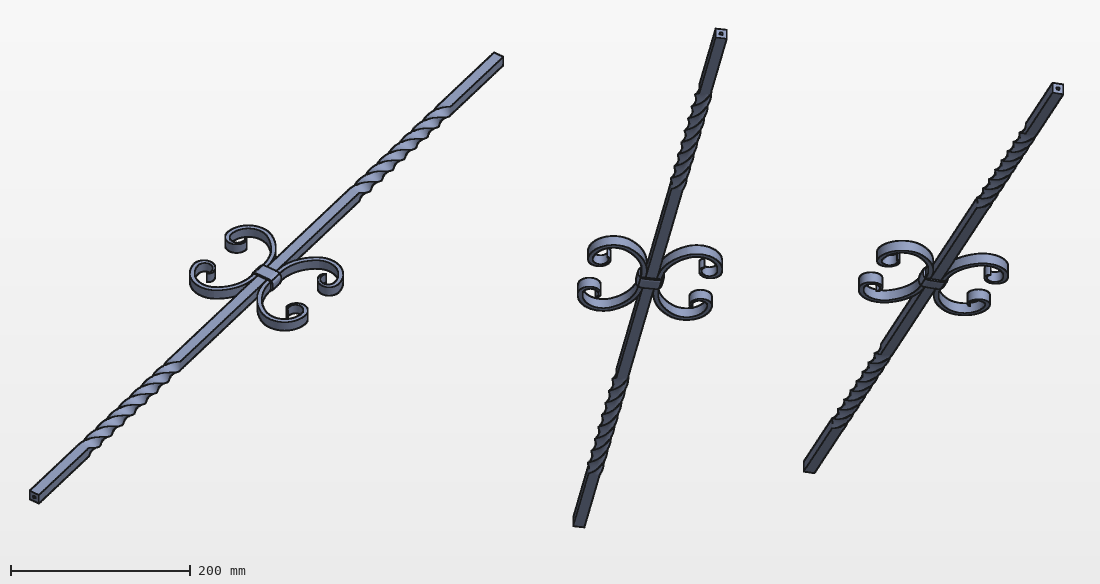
import cadquery as cq
import math

BAR_LENGTH = 900.0
TWIST_DIAMETER = 18.0
BAR_SIDE = TWIST_DIAMETER / math.sqrt(2)
END_HOLE_DIAMETER = 4.0
END_HOLE_DEPTH = 9.0
TWIST_LENGTH = 176.0
TWIST_STARTS = (-353.0, 171.0)
TWIST_TURN = 720.0

BAND_THICKNESS = 5.0
CURL_END_THICKNESS = 3.0
TIP_THICKNESS = 1.0
SCROLL_SPAN = 151.0
STRAIGHT_HALF = 11.0
SHOULDER_RADIUS = 50.0
SHOULDER_ANGLE = 59.0
CURL_RADIUS = 11.0
HOOK_RADIUS = 6.0
HOOK_ANGLE = 65.0

COLLAR_WIDTH = 30.0
COLLAR_LENGTH = 16.0
COLLAR_HEIGHT = 18.0
COLLAR_ROUNDING = 7.0
COLLAR_BEVEL_LENGTH = 3.0
COLLAR_BEVEL_DEPTH = 0.45

band_middle_x = (BAR_SIDE + BAND_THICKNESS) / 2
outside_middle_x = (SCROLL_SPAN - BAND_THICKNESS) / 2
shoulder_cos = math.cos(math.radians(SHOULDER_ANGLE))
shoulder_sin = math.sin(math.radians(SHOULDER_ANGLE))
shoulder_x = band_middle_x + SHOULDER_RADIUS * (1 - shoulder_cos)
bow_radius = (outside_middle_x - shoulder_x) / (1 + shoulder_cos)

shoulder_center = (band_middle_x + SHOULDER_RADIUS, STRAIGHT_HALF)
center_shift = SHOULDER_RADIUS - bow_radius
bow_center = (
    shoulder_center[0] - center_shift * shoulder_cos,
    shoulder_center[1] + center_shift * shoulder_sin,
)
curl_center = (outside_middle_x - CURL_RADIUS, bow_center[1])
hook_center = (curl_center[0] - CURL_RADIUS + HOOK_RADIUS, bow_center[1])


def bar_piece(y_start, y_end, turn=0.0):
    """Square bar from y_start to y_end, twisted about its axis by turn degrees."""
    section = cq.Workplane("XY").rect(BAR_SIDE, BAR_SIDE)
    length = y_end - y_start
    piece = section.twistExtrude(length, turn) if turn else section.extrude(length)
    return piece.rotate((0, 0, 0), (1, 0, 0), -90).translate((0, y_start, 0))


def make_bar():
    half = BAR_LENGTH / 2
    lower_start, upper_start = TWIST_STARTS
    lower_end = lower_start + TWIST_LENGTH
    upper_end = upper_start + TWIST_LENGTH
    bar = bar_piece(-half, lower_start)
    bar = bar.union(bar_piece(lower_start, lower_end, TWIST_TURN))
    bar = bar.union(bar_piece(lower_end, upper_start))
    bar = bar.union(bar_piece(upper_start, upper_end, TWIST_TURN))
    bar = bar.union(bar_piece(upper_end, half))
    for end in ("<Y", ">Y"):
        end_plane = bar.faces(end).workplane(centerOption="CenterOfMass")
        bar = end_plane.hole(END_HOLE_DIAMETER, END_HOLE_DEPTH)
    return bar


def polar(center, radius, degrees):
    """Point at a radius and angle from a centre."""
    angle = math.radians(degrees)
    return (center[0] + radius * math.cos(angle), center[1] + radius * math.sin(angle))


def half_scroll():
    """The +Y half of the scroll on the +X side; every arc turns clockwise."""
    half = BAND_THICKNESS / 2
    curl_end_half = CURL_END_THICKNESS / 2
    tip_half = TIP_THICKNESS / 2
    curl_half = (half + curl_end_half) / 2
    hook_half = (curl_end_half + tip_half) / 2
    shoulder_end = 180 - SHOULDER_ANGLE

    def edge(side):
        """Points along one edge of the band: side is +1 outside the curves, -1 inside."""
        return [
            (band_middle_x - side * half, 0),
            (band_middle_x - side * half, STRAIGHT_HALF),
            polar(shoulder_center, SHOULDER_RADIUS + side * half, (180 + shoulder_end) / 2),
            polar(shoulder_center, SHOULDER_RADIUS + side * half, shoulder_end),
            polar(bow_center, bow_radius + side * half, shoulder_end / 2),
            polar(bow_center, bow_radius + side * half, 0),
            polar(curl_center, CURL_RADIUS + side * curl_half, -90),
            polar(curl_center, CURL_RADIUS + side * curl_end_half, -180),
            polar(hook_center, HOOK_RADIUS + side * hook_half, -180 - HOOK_ANGLE / 2),
            polar(hook_center, HOOK_RADIUS + side * tip_half, -180 - HOOK_ANGLE),
        ]

    outer = edge(1)
    inner = edge(-1)
    outline = (
        cq.Workplane("XY", origin=(0, 0, -BAR_SIDE / 2))
        .moveTo(*outer[0])
        .lineTo(*outer[1])
        .threePointArc(outer[2], outer[3])
        .threePointArc(outer[4], outer[5])
        .threePointArc(outer[6], outer[7])
        .threePointArc(outer[8], outer[9])
        .lineTo(*inner[9])
        .threePointArc(inner[8], inner[7])
        .threePointArc(inner[6], inner[5])
        .threePointArc(inner[4], inner[3])
        .threePointArc(inner[2], inner[1])
        .lineTo(*inner[0])
        .close()
    )
    return outline.extrude(BAR_SIDE)


def make_scroll():
    upper = half_scroll()
    return upper.union(upper.mirror("XZ")).clean()


def half_collar():
    """The +Y half of the solid collar block, with its end bevelled."""
    straight = COLLAR_LENGTH / 2 - COLLAR_BEVEL_LENGTH
    bevel_angle = math.degrees(math.atan(COLLAR_BEVEL_DEPTH / COLLAR_BEVEL_LENGTH))
    section = cq.Sketch().rect(COLLAR_WIDTH, COLLAR_HEIGHT).vertices().fillet(COLLAR_ROUNDING)
    block = cq.Workplane("XY").placeSketch(section).extrude(straight)
    bevel = (
        cq.Workplane("XY", origin=(0, 0, straight))
        .placeSketch(section)
        .extrude(COLLAR_BEVEL_LENGTH, taper=bevel_angle)
    )
    return block.union(bevel).rotate((0, 0, 0), (1, 0, 0), -90)


def make_collar():
    half = half_collar()
    collar = half.union(half.mirror("XZ")).clean()
    opening = cq.Workplane("XY").box(BAR_SIDE + 2 * BAND_THICKNESS, COLLAR_LENGTH, BAR_SIDE)
    return collar.cut(opening)


def make_scrolls():
    """The scroll on the +X side and its mirror image on the -X side."""
    right_scroll = make_scroll()
    return [right_scroll, right_scroll.mirror("YZ")]


bar = make_bar()
collar = make_collar()
scrolls = make_scrolls()
bodies = [bar, collar, *scrolls]
result = cq.Compound.makeCompound([body.solids().val() for body in bodies])